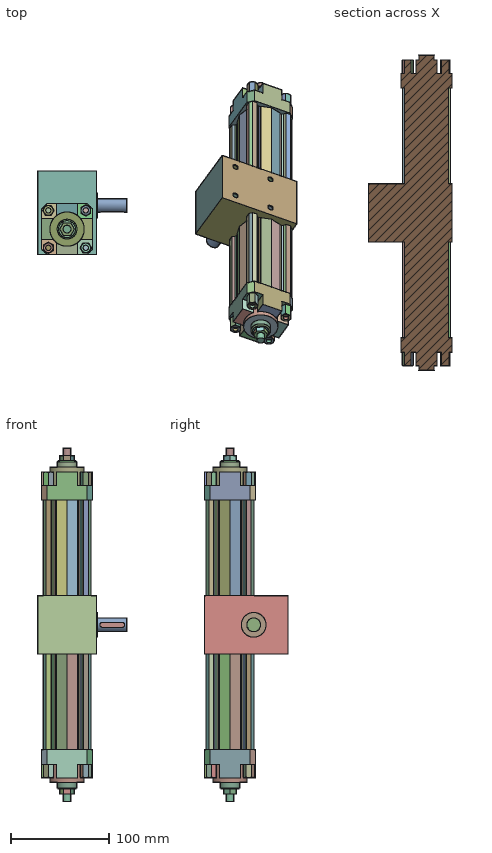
import cadquery as cq
import math


total_length = 359.0
overall_x = 91.0
half_length = total_length / 2

housing_width = 60.0
housing_depth = 85.0
housing_height = 59.5

cap_width = 52.0
cap_inner_z = 126.7
notch_floor_z = 141.8
cap_outer_z = 155.5
cap_chamfer = 5.7
cap_arm_width = 21.5

housing_front_y = -cap_width / 2
housing_back_y = housing_front_y + housing_depth

barrel_half_width = 24.5
barrel_chamfer = 3.0
ridge_half_width = 10.8
ridge_drop = 3.0
groove_floor = 21.0
groove_floor_start = 11.5
groove_floor_end = 13.3
groove_bend = (15.0, 22.0)
groove_mouth = 16.5

boss_diameter = 35.0
boss_top_z = 160.0
collar_diameter = 20.0
collar_top_z = 167.0
collar_chamfer = 1.5
rod_nut_flats = 13.0
rod_nut_height = 5.0
rod_diameter = 8.0

tie_rod_offset = 19.0
tie_nut_flats = 10.0
tie_nut_face_diameter = 9.7
tie_nut_chamfer = 1.0
tie_nut_bore = 5.5
tie_nut_bore_depth = 3.5

shaft_y = 24.0
shaft_collar_diameter = 25.0
shaft_collar_thickness = 1.0
shaft_diameter = 14.0
keyway_length = 25.0
keyway_width = 5.0
keyway_depth = 3.0

mount_spacing = 40.0
mount_hole_diameter = 5.0
mount_mouth_diameter = 6.0
mount_hole_depth = 8.0


def cylinder_z(diameter, bottom, top):
    """Cylinder on the Z axis between two heights."""
    return cq.Workplane("XY").workplane(offset=bottom).circle(diameter / 2).extrude(top - bottom)


def hexagon(flats, bottom, height):
    """Hexagonal prism on the Z axis with two corners on the X axis."""
    corners = flats / math.cos(math.pi / 6)
    return cq.Workplane("XY").workplane(offset=bottom).polygon(6, corners).extrude(height)


def make_housing():
    middle_y = (housing_front_y + housing_back_y) / 2
    return cq.Workplane("XY").box(housing_width, housing_depth, housing_height).translate((0, middle_y, 0))


def make_barrel():
    """Square extrusion with ridged sides, grooves beside the ridges and chamfered corners."""
    half_side = [
        (ridge_half_width, barrel_half_width - ridge_drop),
        (groove_floor_start, groove_floor),
        (groove_floor_end, groove_floor),
        groove_bend,
        (groove_mouth, barrel_half_width),
        (barrel_half_width - barrel_chamfer, barrel_half_width),
    ]
    side = [(-x, y) for x, y in reversed(half_side)]
    side += [(0, barrel_half_width)]
    side += half_side
    outline = []
    for _ in range(4):
        outline += side
        side = [(y, -x) for x, y in side]
    return cq.Workplane("XY").polyline(outline).close().extrude(cap_inner_z, both=True)


def make_tie_nut():
    """Hexagonal tie rod nut with a chamfered, bored outer face."""
    height = cap_outer_z - notch_floor_z
    nut = hexagon(tie_nut_flats, notch_floor_z, height)
    envelope_diameter = tie_nut_face_diameter + 2 * tie_nut_chamfer
    envelope = cylinder_z(envelope_diameter, notch_floor_z, cap_outer_z)
    envelope = envelope.faces(">Z").chamfer(tie_nut_chamfer)
    bore = cylinder_z(tie_nut_bore, cap_outer_z - tie_nut_bore_depth, cap_outer_z)
    return nut.intersect(envelope).cut(bore)


def make_cap():
    """Upper end cap: chamfered square base with a cross on top and a nut in each corner."""
    blank = cq.Workplane("XY").rect(cap_width, cap_width)
    base = blank.extrude(notch_floor_z - cap_inner_z).edges("|Z").chamfer(cap_chamfer)
    cap = base.translate((0, 0, cap_inner_z))
    cross_height = cap_outer_z - notch_floor_z
    for arm_x, arm_y in ((cap_width, cap_arm_width), (cap_arm_width, cap_width)):
        arm = cq.Workplane("XY").workplane(offset=notch_floor_z).rect(arm_x, arm_y).extrude(cross_height)
        cap = cap.union(arm)
    corner_nut = make_tie_nut().translate((tie_rod_offset, -tie_rod_offset, 0))
    for turn in range(4):
        cap = cap.union(corner_nut.rotate((0, 0, 0), (0, 0, 1), 90 * turn))
    return cap


def make_rod_end():
    """Boss, chamfered collar, hexagonal nut and rod tip at the upper end."""
    boss = cylinder_z(boss_diameter, notch_floor_z, boss_top_z)
    collar = cylinder_z(collar_diameter, boss_top_z, collar_top_z).faces(">Z").chamfer(collar_chamfer)
    nut = hexagon(rod_nut_flats, collar_top_z, rod_nut_height)
    rod = cylinder_z(rod_diameter, boss_top_z, half_length)
    return boss.union(collar).union(nut).union(rod)


def make_shaft():
    """Output shaft with its collar and a round-ended keyway on the -Y side."""
    side_x = housing_width / 2
    shaft_length = overall_x - housing_width
    face = cq.Workplane("YZ", origin=(side_x, shaft_y, 0))
    shaft = face.circle(shaft_diameter / 2).extrude(shaft_length)
    collar = face.circle(shaft_collar_diameter / 2).extrude(shaft_collar_thickness)
    keyway_x = side_x + (shaft_collar_thickness + shaft_length) / 2
    keyway_floor_y = shaft_y - shaft_diameter / 2 + keyway_depth
    keyway = (
        cq.Workplane("XZ", origin=(keyway_x, keyway_floor_y, 0))
        .slot2D(keyway_length, keyway_width)
        .extrude(shaft_diameter)
    )
    return shaft.cut(keyway).union(collar)


def make_mount_holes():
    """Four countersunk blind holes around the shaft axis."""
    mouth_depth = (mount_mouth_diameter - mount_hole_diameter) / 2
    face = cq.Workplane("YZ", origin=(-housing_width / 2, shaft_y, 0))
    centres = face.rarray(mount_spacing, mount_spacing, 2, 2)
    holes = centres.circle(mount_hole_diameter / 2).extrude(mount_hole_depth)
    mouths = centres.circle(mount_mouth_diameter / 2).extrude(mouth_depth, taper=45)
    return holes.union(mouths)


upper_end = make_cap().union(make_rod_end())
lower_end = upper_end.mirror("XY")

result = (
    make_barrel()
    .union(make_housing())
    .union(upper_end)
    .union(lower_end)
    .union(make_shaft())
    .cut(make_mount_holes())
)